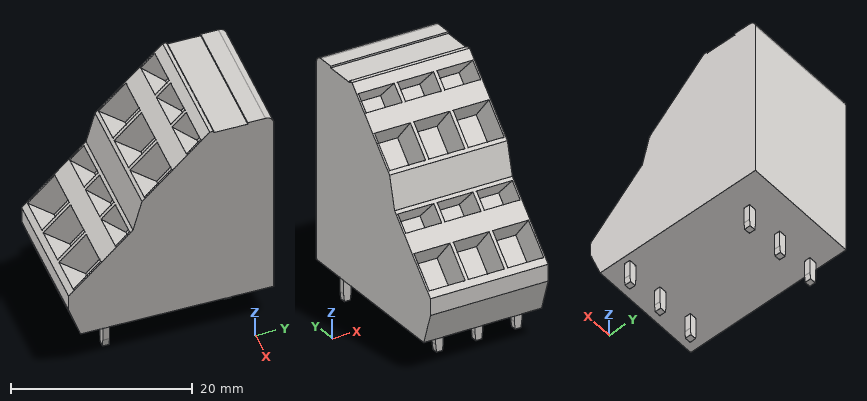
import cadquery as cq
import math


poles = 3
pole_pitch = 5.08
width = poles * pole_pitch
depth = 24.05
height = 25.6
rear_edge_radius = 1.0

upper_ramp_top_y = 16.52
upper_ramp_drop = 7.93
riser_run = 1.05
riser_drop = 3.97
lower_ramp_top_y = upper_ramp_top_y - upper_ramp_drop - riser_run
lower_ramp_top_z = height - upper_ramp_drop - riser_drop
lower_ramp_drop = lower_ramp_top_y
nose_bottom_z = 4.06
base_front_y = 1.4

channel_front_y = 17.0
channel_rear_y = 20.98
channel_depth = 0.22

pocket_width = 4.64
pocket_depth = 4.1
small_pocket_length = 2.34
large_pocket_length = 4.52
large_pocket_floor_length = 3.9
pocket_gap = 2.46
upper_pocket_start = 1.4
lower_pocket_start = 0.46

pin_width = 1.0
pin_thickness = 0.8
pin_length = 3.5
pin_tip_length = 1.0
pin_tip_width = 0.78
pin_pitch = pole_pitch / 2
pin_row_spacing = 15.24
rear_pin_y = 19.92
front_pin_y = rear_pin_y - pin_row_spacing


def make_body():
    """Solid housing block without pockets."""
    upper_ramp_foot = (upper_ramp_top_y - upper_ramp_drop, height - upper_ramp_drop)
    profile = [
        (base_front_y, 0),
        (depth, 0),
        (depth, height),
        (channel_rear_y, height),
        (channel_rear_y, height - channel_depth),
        (channel_front_y, height - channel_depth),
        (channel_front_y, height),
        (upper_ramp_top_y, height),
        upper_ramp_foot,
        (lower_ramp_top_y, lower_ramp_top_z),
        (0, lower_ramp_top_z - lower_ramp_drop),
        (0, nose_bottom_z),
    ]
    block = cq.Workplane("YZ").polyline(profile).close().extrude(width / 2, both=True)
    return block.edges(cq.selectors.NearestToPointSelector((0, depth, height))).fillet(rear_edge_radius)


def make_pocket(x, ramp_y, ramp_z, start, opening_length, floor_length):
    """Cutter for one pocket whose upper edge lies `start` down the ramp from its top edge."""
    distance = start + opening_length / 2
    offset = distance * math.sqrt(0.5)
    ramp = cq.Plane(
        origin=(x, ramp_y - offset, ramp_z - offset),
        xDir=(1, 0, 0),
        normal=(0, -1, 1),
    )
    half_opening = opening_length / 2
    half_floor = floor_length / 2
    section = [
        (-half_opening, 0),
        (half_opening, 0),
        (half_floor, -pocket_depth),
        (-half_floor, -pocket_depth),
    ]
    side = cq.Plane(origin=ramp.origin, xDir=ramp.yDir, normal=ramp.xDir)
    return cq.Workplane(side).polyline(section).close().extrude(pocket_width / 2, both=True)


def make_housing():
    """Housing with a small and a large pocket per pole on each ramp."""
    housing = make_body()
    ramps = [
        (upper_ramp_top_y, height, upper_pocket_start),
        (lower_ramp_top_y, lower_ramp_top_z, lower_pocket_start),
    ]
    for ramp_y, ramp_z, small_start in ramps:
        large_start = small_start + small_pocket_length + pocket_gap
        for pole in range(poles):
            x = (pole - (poles - 1) / 2) * pole_pitch
            housing = housing.cut(
                make_pocket(x, ramp_y, ramp_z, small_start, small_pocket_length, small_pocket_length)
            )
            housing = housing.cut(
                make_pocket(x, ramp_y, ramp_z, large_start, large_pocket_length, large_pocket_floor_length)
            )
    return housing


def make_pin(x, y):
    """Flat pin hanging from the housing base, narrowing across X at its tip."""
    half_width = pin_width / 2
    half_tip = pin_tip_width / 2
    shoulder_z = pin_tip_length - pin_length
    outline = [
        (-half_width, 0),
        (half_width, 0),
        (half_width, shoulder_z),
        (half_tip, -pin_length),
        (-half_tip, -pin_length),
        (-half_width, shoulder_z),
    ]
    pin = cq.Workplane("XZ").polyline(outline).close().extrude(pin_thickness / 2, both=True)
    return pin.translate((x, y, 0))


housing = make_housing()

pins = []
pin_count = 2 * poles
for index in range(pin_count):
    pin_x = (index - (pin_count - 1) / 2) * pin_pitch
    pin_y = rear_pin_y if index % 2 == 0 else front_pin_y
    pins.append(make_pin(pin_x, pin_y).val())

result = cq.Compound.makeCompound([housing.val(), *pins])